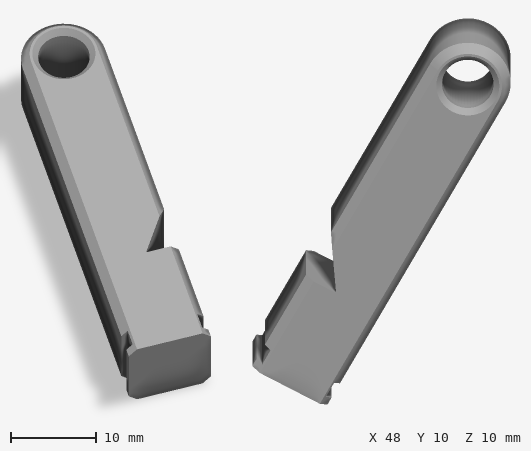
import cadquery as cq

length = 48.0
width = 10.0
height = 10.0
end_radius = width / 2
edge_chamfer = 1.0

hole_diameter = 6.0
hole_chamfer = 0.65

notch_start = 29.0
notch_wall = 35.0
notch_depth = 4.0

groove_width = 2.0
groove_depth = 0.75
groove_end_gap = 1.0


def make_bar():
    """Bar with its long edges and rounded end chamfered at top and bottom."""
    outline = (
        cq.Workplane("XY")
        .moveTo(length, -width / 2)
        .lineTo(length, width / 2)
        .lineTo(end_radius, width / 2)
        .threePointArc((0, 0), (end_radius, -width / 2))
        .close()
    )
    bar = outline.extrude(height)
    rims = bar.faces("<Z or >Z").edges("not >X")
    return rims.chamfer(edge_chamfer)


def make_ring_hole():
    """Through hole tool that flares to a chamfer at both mouths."""
    radius = hole_diameter / 2
    mouth_radius = radius + hole_chamfer
    profile = (
        cq.Workplane("XZ", origin=(end_radius, 0, 0))
        .polyline([
            (0, 0),
            (mouth_radius, 0),
            (radius, hole_chamfer),
            (radius, height - hole_chamfer),
            (mouth_radius, height),
            (0, height),
        ])
        .close()
    )
    return profile.revolve(360, (0, 0, 0), (0, 1, 0))


def make_notch():
    """Full-height wedge with a sloped face and a square wall."""
    side = width / 2
    return (
        cq.Workplane("XY")
        .polyline([(notch_start, side), (notch_wall, side), (notch_wall, side - notch_depth)])
        .close()
        .extrude(height)
    )


def make_grooves():
    """Full-height rectangular grooves, one on each side."""
    centre_x = length - groove_end_gap - groove_width / 2
    centre_y = width / 2 - groove_depth / 2
    return (
        cq.Workplane("XY")
        .pushPoints([(centre_x, -centre_y), (centre_x, centre_y)])
        .rect(groove_width, groove_depth)
        .extrude(height)
    )


result = make_bar().cut(make_ring_hole()).cut(make_notch()).cut(make_grooves())